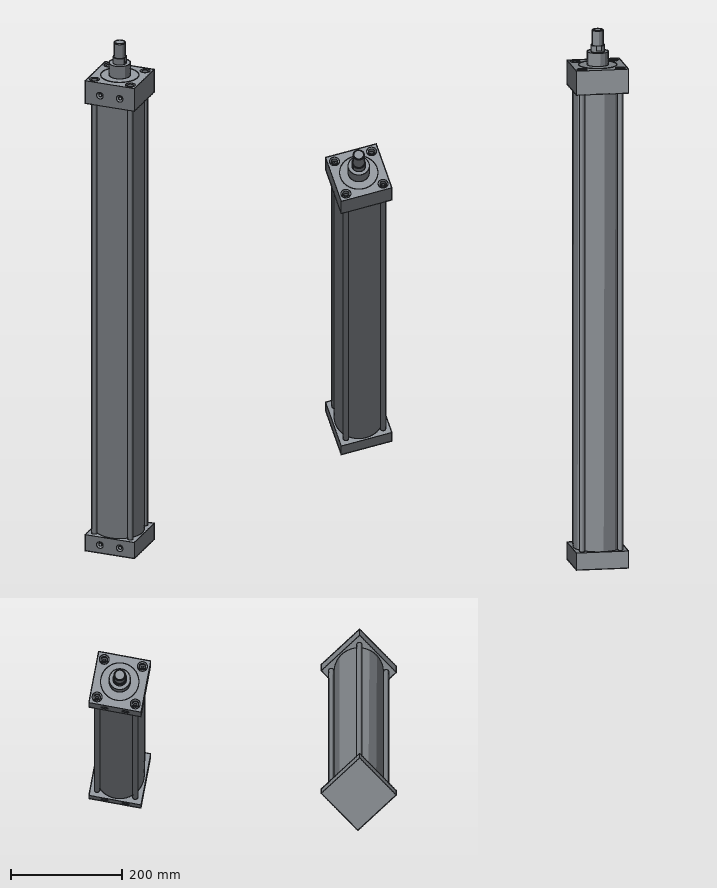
import cadquery as cq

end_cap_top = 31.5
head_bottom = 875.0
head_top = 919.0
neck_top = 944.0
flats_bottom = 947.0
thread_bottom = 956.0
rod_tip = 984.0

block_side = 95.0

tie_spacing = 70.0
screw_mouth_radius = 9.0
screw_countersink_depth = 1.0
screw_bore_radius = 6.0
screw_bore_depth = 10.0
screw_pilot_radius = 3.0
screw_pilot_depth = 30.0

port_spacing = 38.0
port_mouth_radius = 6.4
port_countersink_depth = 2.0
port_bore_radius = 3.0
port_depth = 20.0
head_port_height = 895.0
end_cap_port_height = end_cap_top / 2

pad_radius = 34.0
pad_height = 0.5
neck_diameter = 38.0

barrel_radius = 44.0
tie_rod_radius = 5.0

rod_diameter = 25.0
thread_diameter = 21.0
thread_chamfer = 1.5
flats_width = 23.0


def cylinder(radius, bottom, top):
    return cq.Workplane("XY", origin=(0, 0, bottom)).circle(radius).extrude(top - bottom)


def block(bottom, top):
    return cq.Workplane("XY", origin=(0, 0, bottom)).rect(block_side, block_side).extrude(top - bottom)


def tie_corners(height):
    """The four tie rod centres, as points on a level plane."""
    plane = cq.Workplane("XY", origin=(0, 0, height))
    return plane.rect(tie_spacing, tie_spacing, forConstruction=True).vertices()


def port_pair(height):
    """Cutter for two ports that run in along +Y."""
    port = (
        cq.Workplane("XY")
        .moveTo(0, 0)
        .lineTo(port_mouth_radius, 0)
        .lineTo(port_bore_radius, port_countersink_depth)
        .lineTo(port_bore_radius, port_depth)
        .lineTo(0, port_depth)
        .close()
        .revolve(360, (0, 0, 0), (0, 1, 0))
    )
    cutter = cq.Workplane("XY")
    for x in (-port_spacing / 2, port_spacing / 2):
        cutter = cutter.add(port.translate((x, -block_side / 2, height)))
    return cutter.combine()


def screw_holes():
    """Cutter for the four screw holes that run down from the top of the head."""
    hole = (
        cq.Workplane("XZ")
        .moveTo(0, 0)
        .lineTo(screw_mouth_radius, 0)
        .lineTo(screw_bore_radius, -screw_countersink_depth)
        .lineTo(screw_bore_radius, -screw_bore_depth)
        .lineTo(screw_pilot_radius, -screw_bore_depth)
        .lineTo(screw_pilot_radius, -screw_pilot_depth)
        .lineTo(0, -screw_pilot_depth)
        .close()
        .revolve(360, (0, 0, 0), (0, 1, 0))
    )
    cutter = cq.Workplane("XY")
    for corner in tie_corners(head_top).vals():
        cutter = cutter.add(hole.translate(corner.toTuple()))
    return cutter.combine()


def make_head():
    """Head block with its pad, neck, ports and screw holes, bored through for the rod."""
    head = block(head_bottom, head_top)
    head = head.union(cylinder(pad_radius, head_top, head_top + pad_height))
    head = head.union(cylinder(neck_diameter / 2, head_top, neck_top))
    head = head.cut(screw_holes())
    head = head.cut(port_pair(head_port_height))
    return head.cut(cylinder(rod_diameter / 2, head_bottom, neck_top))


def make_end_cap():
    """End cap carrying the four tie rods, which reach up to the head beside the barrel."""
    cap = block(0, end_cap_top).cut(port_pair(end_cap_port_height))
    tie_rods = tie_corners(end_cap_top).circle(tie_rod_radius).extrude(head_bottom - end_cap_top)
    return cap.union(tie_rods)


def make_barrel():
    return cylinder(barrel_radius, end_cap_top, head_bottom)


def make_rod():
    """Piston rod with two wrench flats facing -X and +X below a thinner threaded end."""
    shank = cylinder(rod_diameter / 2, head_bottom, flats_bottom)
    flats_height = thread_bottom - flats_bottom
    between_flats = (
        cq.Workplane("XY", origin=(0, 0, flats_bottom)).rect(flats_width, rod_diameter).extrude(flats_height)
    )
    flatted = cylinder(rod_diameter / 2, flats_bottom, thread_bottom).intersect(between_flats)
    thread = cylinder(thread_diameter / 2, thread_bottom, rod_tip)
    thread = thread.faces(">Z").chamfer(thread_chamfer)
    return shank.union(flatted).union(thread)


head = make_head()
end_cap = make_end_cap()
barrel = make_barrel()
rod = make_rod()

result = cq.Compound.makeCompound([head.val(), end_cap.val(), barrel.val(), rod.val()])